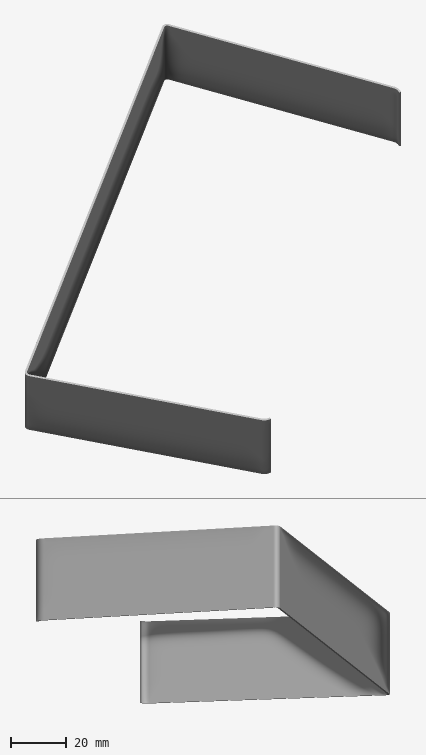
import cadquery as cq
import math

length_x = 91.2
width_y = 173.1
height = 30.0

thickness = 0.8
corner_radius = 1.9
arm_tilt = 3.0
lip_angle = 55.0
lip_radius = 4.0


def polar(center, radius, degrees):
    """Point at an angle, counter-clockwise from +X, on a circle."""
    angle = math.radians(degrees)
    return (center[0] + radius * math.cos(angle), center[1] + radius * math.sin(angle))


arm_normal = 90 - arm_tilt
lip_normal = 90 - lip_angle
corner_normal = (180 + arm_normal) / 2
lip_mid_normal = (arm_normal + lip_normal) / 2

corner_center = (corner_radius, width_y / 2 - corner_radius)
corner_inner = corner_radius - thickness
lip_inner = lip_radius - thickness

lip_center_x = length_x - lip_radius * math.cos(math.radians(lip_normal))
arm_start = polar(corner_center, corner_radius, arm_normal)
lip_start_x = polar((lip_center_x, 0), lip_radius, arm_normal)[0]
lip_start_y = arm_start[1] - (lip_start_x - arm_start[0]) * math.tan(math.radians(arm_tilt))
lip_center = (lip_center_x, lip_start_y - lip_radius * math.sin(math.radians(arm_normal)))

half_strip = (
    cq.Workplane("XY")
    .moveTo(0, 0)
    .lineTo(*polar(corner_center, corner_radius, 180))
    .threePointArc(polar(corner_center, corner_radius, corner_normal), arm_start)
    .lineTo(lip_start_x, lip_start_y)
    .threePointArc(
        polar(lip_center, lip_radius, lip_mid_normal),
        polar(lip_center, lip_radius, lip_normal),
    )
    .lineTo(*polar(lip_center, lip_inner, lip_normal))
    .threePointArc(
        polar(lip_center, lip_inner, lip_mid_normal),
        polar(lip_center, lip_inner, arm_normal),
    )
    .lineTo(*polar(corner_center, corner_inner, arm_normal))
    .threePointArc(
        polar(corner_center, corner_inner, corner_normal),
        polar(corner_center, corner_inner, 180),
    )
    .lineTo(thickness, 0)
    .close()
    .extrude(height)
)

result = half_strip.union(half_strip.mirror("XZ")).clean()